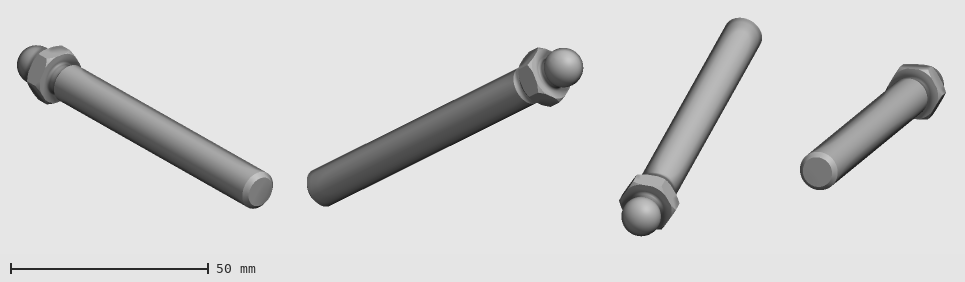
import cadquery as cq
import math

total_length = 94.5
shank_radius = 5.0
ball_radius = shank_radius
neck_radius = 4.0
neck_fillet = 0.7

hex_start = 9.5
hex_thickness = 4.9
hex_across_flats = 13.0
hex_chamfer = 0.85

groove_end = 16.9
groove_flare_length = 1.1
end_chamfer = 1.1

hex_end = hex_start + hex_thickness
hex_across_corners = hex_across_flats / math.cos(math.pi / 6)


def turned_body():
    """Ball, neck, undercut groove and shank as one revolved profile."""
    ball_neck_x = ball_radius + math.sqrt(ball_radius**2 - neck_radius**2)
    shank_start = groove_end + groove_flare_length
    profile = (
        cq.Workplane("XY")
        .moveTo(0, 0)
        .threePointArc((ball_radius, ball_radius), (ball_neck_x, neck_radius))
        .lineTo(groove_end, neck_radius)
        .lineTo(shank_start, shank_radius)
        .lineTo(total_length - end_chamfer, shank_radius)
        .lineTo(total_length, shank_radius - end_chamfer)
        .lineTo(total_length, 0)
        .close()
    )
    return profile.revolve(360, (0, 0, 0), (1, 0, 0))


def hexagon():
    """Hexagon with corners on +Y and -Y, its corners turned down on both faces."""
    prism = (
        cq.Workplane("YZ", origin=(hex_start, 0, 0))
        .polygon(6, hex_across_corners)
        .extrude(hex_thickness)
    )
    corner_envelope = (
        cq.Workplane("YZ", origin=(hex_start, 0, 0))
        .circle(hex_across_corners / 2)
        .extrude(hex_thickness)
        .faces("<X or >X")
        .chamfer(hex_chamfer)
    )
    return prism.intersect(corner_envelope)


def fillet_ring(face_x, direction):
    """Concave fillet from a hexagon face down to the neck, extending along direction."""
    tangent_x = face_x + direction * neck_fillet
    outer_radius = neck_radius + neck_fillet
    diagonal_gap = neck_fillet * math.sqrt(0.5)
    arc_middle = (tangent_x - direction * diagonal_gap, outer_radius - diagonal_gap)
    return (
        cq.Workplane("XY")
        .moveTo(face_x, 0)
        .lineTo(face_x, outer_radius)
        .threePointArc(arc_middle, (tangent_x, neck_radius))
        .lineTo(tangent_x, 0)
        .close()
        .revolve(360, (0, 0, 0), (1, 0, 0))
    )


result = (
    turned_body()
    .union(hexagon())
    .union(fillet_ring(hex_start, -1))
    .union(fillet_ring(hex_end, 1))
)